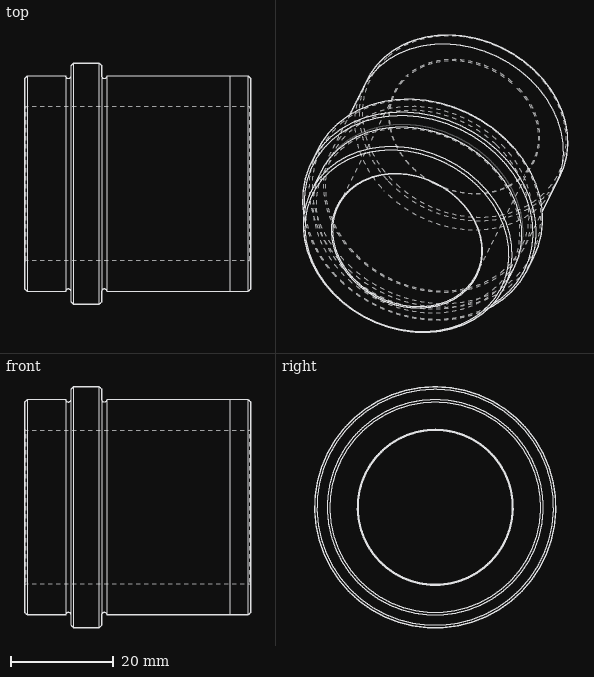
import cadquery as cq

bore_diameter = 30.0
spigot_diameter = 42.0
fit_diameter = 42.0005
flange_diameter = 47.0

total_length = 44.0
spigot_length = 9.0
flange_width = 6.0
lead_in_length = 4.0

edge_chamfer = 0.5
bore_chamfer = 0.2
relief_width = 1.0
relief_depth = 0.5

bore_radius = bore_diameter / 2
spigot_radius = spigot_diameter / 2
fit_radius = fit_diameter / 2
flange_radius = flange_diameter / 2
relief_radius = spigot_radius - relief_depth

flange_front = spigot_length
flange_back = flange_front + flange_width
front_relief_start = flange_front - relief_width
back_relief_end = flange_back + relief_width
lead_in_start = total_length - lead_in_length


def add_relief(outline, start):
    """Add a round-bottomed groove at the spigot radius, beginning at X = start."""
    bottom = (start + relief_width / 2, relief_radius)
    end = (start + relief_width, spigot_radius)
    return outline.threePointArc(bottom, end)


def half_section():
    """Closed half section of the bush, above the X axis."""
    outline = (
        cq.Workplane("XZ")
        .moveTo(0, bore_radius + bore_chamfer)
        .lineTo(0, spigot_radius - edge_chamfer)
        .lineTo(edge_chamfer, spigot_radius)
        .lineTo(front_relief_start, spigot_radius)
    )
    outline = add_relief(outline, front_relief_start)

    outline = (
        outline
        .lineTo(flange_front, flange_radius - edge_chamfer)
        .lineTo(flange_front + edge_chamfer, flange_radius)
        .lineTo(flange_back - edge_chamfer, flange_radius)
        .lineTo(flange_back, flange_radius - edge_chamfer)
        .lineTo(flange_back, spigot_radius)
    )
    outline = add_relief(outline, flange_back)

    return (
        outline
        .lineTo(back_relief_end, fit_radius)
        .lineTo(lead_in_start, fit_radius)
        .lineTo(lead_in_start, spigot_radius)
        .lineTo(total_length - edge_chamfer, spigot_radius)
        .lineTo(total_length, spigot_radius - edge_chamfer)
        .lineTo(total_length, bore_radius + bore_chamfer)
        .lineTo(total_length - bore_chamfer, bore_radius)
        .lineTo(bore_chamfer, bore_radius)
        .close()
    )


axis_start = (0, 0, 0)
axis_end = (1, 0, 0)
result = half_section().revolve(360, axis_start, axis_end)